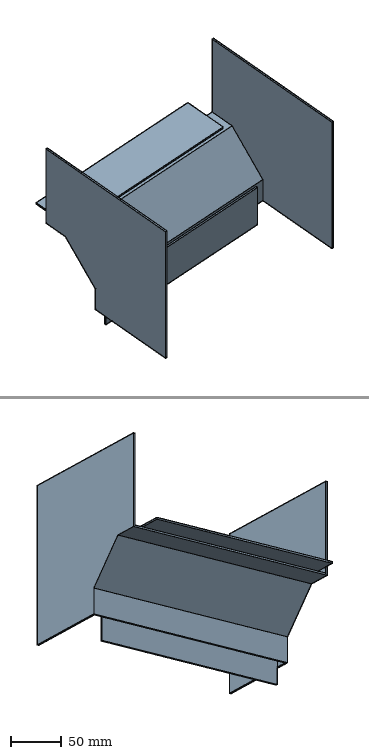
import cadquery as cq
import math

width = 232.0
reach = 195.0
sheet = 2.0
tab_length = 50.0
tab_overhang = 25.0
tab_width = 210.0
notch = 70.0
lip = 27.5

far = reach - tab_overhang
bend_shift = sheet * math.tan(math.radians(22.5))
inner_lip = lip + bend_shift
inner_notch = notch + sheet


def extrude_centered(points, depth):
    """Extrude an XZ outline symmetrically about Y = 0."""
    return cq.Workplane("XZ").polyline(points).close().extrude(depth / 2, both=True)


web_outer = [(0, notch), (lip, notch), (notch, lip), (notch, 0)]
web_inner = [
    (inner_notch, 0),
    (inner_notch, inner_lip),
    (inner_lip, inner_notch),
    (0, inner_notch),
]
web = extrude_centered(web_outer + web_inner, width)

plate_outline = web_outer + [(far, 0), (far, far), (0, far)]
plate_blank = extrude_centered(plate_outline, width)
gap = cq.Workplane("XY").box(2 * reach, width - 2 * sheet, 2 * reach)
side_plates = plate_blank.cut(gap)

flat_tab = cq.Workplane("XY").box(tab_length, tab_width, sheet, centered=(False, True, False))
flat_tab = flat_tab.translate((-tab_overhang, 0, inner_notch))
upright_tab = cq.Workplane("XY").box(sheet, tab_width, tab_length, centered=(False, True, False))
upright_tab = upright_tab.translate((inner_notch, 0, -tab_overhang))

result = web.union(side_plates).union(flat_tab).union(upright_tab)